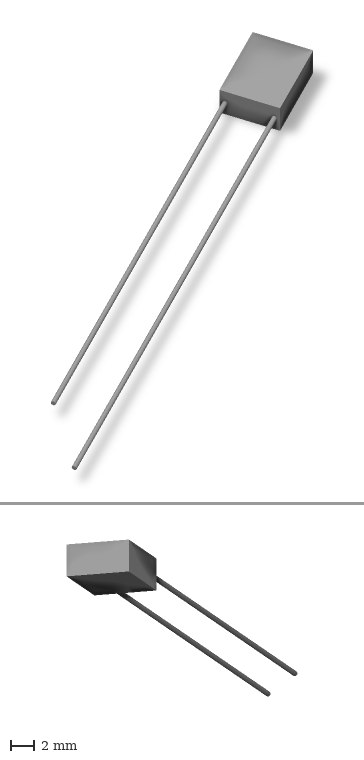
import cadquery as cq

total_length = 51.85

housing_width = 5.6
housing_length = 7.35
housing_height = 2.8

lead_diameter = 0.45
lead_pitch = 4.55
long_lead_length = total_length - housing_length
lead_length_difference = 6.3
short_lead_length = long_lead_length - lead_length_difference


def make_housing():
    """Rectangular block with its lead face on the plane Y = 0, centred in X and Z."""
    return cq.Workplane("XY").box(
        housing_width, housing_length, housing_height, centered=(True, False, True)
    )


def make_lead(x_position, length):
    """Straight round wire that starts on the lead face and runs toward -Y."""
    return cq.Workplane("XZ").center(x_position, 0).circle(lead_diameter / 2).extrude(length)


housing = make_housing()

leads = [
    make_lead(side * lead_pitch / 2, length)
    for side, length in ((-1, short_lead_length), (1, long_lead_length))
]

result = cq.Compound.makeCompound([housing.val(), *[lead.val() for lead in leads]])